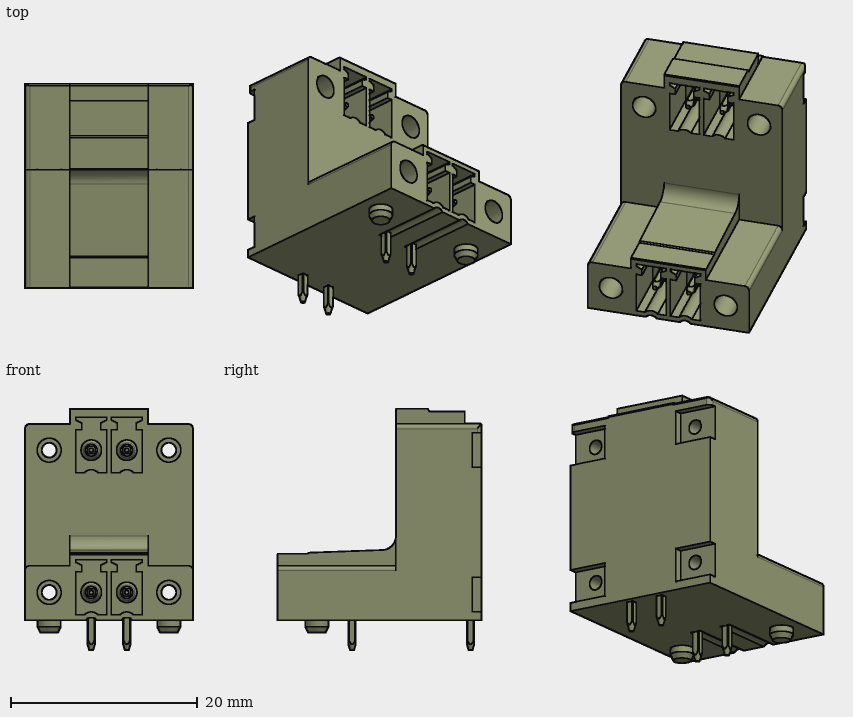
import cadquery as cq


width = 18.01
depth = 21.9
port_rise = 15.24
port_setback = 12.7
lower_shoulder_z = 5.85
upper_shoulder_z = 21.05
shoulder_round = 0.5
back_bevel = 0.2

block_width = 8.38
block_bevel = 0.1
lower_block_z = 7.15
lower_flat_length = 3.23
lower_step_run = 0.2
lower_ramp_start_z = 7.27
lower_ramp_end_z = 7.55
ramp_fillet = 1.5
upper_block_z = 22.7
upper_flat_length = 3.41
upper_step_run = 0.2
upper_back_z = 22.4
upper_block_length = 7.4
back_strip_rise = 0.1

pitch = 3.81
port_axis_z = 3.0
cavity_half_width = 1.67
cavity_top = 3.5
cavity_bottom = -2.4
cavity_depth = 6.2
neck_half_width = 1.04
neck_bottom = 2.2
neck_top = 2.92
slope_top = 3.24
bump_half_width = 0.72
bump_height = 0.31
collar_base_radius = 1.1
collar_rim_radius = 0.83
collar_top_radius = 0.64
collar_rim_height = 0.4
collar_height = 0.6

screw_x = 6.41
screw_diameter = 1.56
counterbore_diameter = 2.57
counterbore_depth = 5.0
nut_width = 3.7
nut_slot_depth = 1.0
lower_nut_drop = 0.22

peg_y = 4.24
peg_diameter = 2.52
peg_length = 1.32
peg_tip_height = 0.62
peg_tip_inset = 0.32

pin_width = 0.82
pin_edge_bevel = 0.1
pin_tip_radius = 0.22
pin_taper_length = 1.0
pin_taper_radius = 0.52
pin_recess = 1.3
tail_setback = 8.01
tail_end_z = -3.2

groove_half_width = 0.6
groove_height = 0.3

port_rows = [(0, port_axis_z), (port_setback, port_axis_z + port_rise)]
contact_columns = [-pitch / 2, pitch / 2]
flange_columns = [-screw_x, screw_x]


def box(x_range, y_range, z_range):
    """Box between two limits along each axis."""
    size = [limits[1] - limits[0] for limits in (x_range, y_range, z_range)]
    corner = (x_range[0], y_range[0], z_range[0])
    return cq.Workplane("XY").box(*size, centered=False).translate(corner)


def make_shoulders():
    """L-shaped body: low front step and tall back column, both with rounded top side edges."""
    half = width / 2
    base = box((-half, half), (0, depth), (0, lower_shoulder_z))
    base = base.edges("|Y and >Z").fillet(shoulder_round)
    column = box((-half, half), (port_setback, depth), (0, upper_shoulder_z))
    column = column.edges("|Y and >Z").fillet(shoulder_round)
    column = column.cut(make_back_corner_waste())
    column = column.cut(make_back_bevel_waste())
    return base.union(column)


def make_back_corner_waste():
    """Material outside the rounded vertical back corners above the upper nut slots."""
    slot_top = port_axis_z + port_rise + nut_width / 2
    height = upper_shoulder_z - slot_top
    half = width / 2
    waste = box((-half, half), (depth - shoulder_round, depth), (slot_top, upper_shoulder_z))
    kept = (
        cq.Workplane("XY", origin=(0, depth - width / 2, slot_top))
        .rect(width, width)
        .extrude(height)
        .edges("|Z and >Y")
        .fillet(shoulder_round)
    )
    return waste.cut(kept)


def make_back_bevel_waste():
    """Wedge outside the bevelled top edge of the back face."""
    return (
        cq.Workplane("YZ")
        .moveTo(depth, upper_shoulder_z)
        .lineTo(depth - back_bevel, upper_shoulder_z)
        .lineTo(depth, upper_shoulder_z - back_bevel)
        .close()
        .extrude(width, both=True)
    )


def make_raised_blocks():
    """Stepped centre blocks over both port rows, with a fillet between lower ramp and column."""
    ramp_end_y = port_setback - ramp_fillet
    step_end_y = lower_flat_length + lower_step_run
    arc_offset = ramp_fillet * (1 - 0.5 ** 0.5)
    upper_step_y = port_setback + upper_flat_length
    back_strip_z = upper_shoulder_z + back_strip_rise
    upper_end_y = port_setback + upper_block_length
    profile = (
        cq.Workplane("YZ")
        .moveTo(0, lower_shoulder_z - shoulder_round)
        .lineTo(0, lower_block_z - block_bevel)
        .lineTo(block_bevel, lower_block_z)
        .lineTo(lower_flat_length, lower_block_z)
        .lineTo(step_end_y, lower_ramp_start_z)
        .lineTo(ramp_end_y, lower_ramp_end_z)
        .threePointArc(
            (port_setback - arc_offset, lower_ramp_end_z + arc_offset),
            (port_setback, lower_ramp_end_z + ramp_fillet),
        )
        .lineTo(port_setback, upper_block_z - block_bevel)
        .lineTo(port_setback + block_bevel, upper_block_z)
        .lineTo(upper_step_y, upper_block_z)
        .lineTo(upper_step_y + upper_step_run, upper_back_z)
        .lineTo(upper_end_y, upper_back_z)
        .lineTo(upper_end_y, back_strip_z)
        .lineTo(depth - back_bevel, back_strip_z)
        .lineTo(depth, back_strip_z - back_bevel)
        .lineTo(depth, lower_shoulder_z - shoulder_round)
        .close()
    )
    return profile.extrude(block_width / 2, both=True)


def make_cavity():
    """Keyed port cavity with a ridged floor and a pin collar, opening at y = 0 around the contact axis."""
    outline = (
        cq.Workplane("XZ")
        .moveTo(-cavity_half_width, cavity_bottom)
        .lineTo(-bump_half_width, cavity_bottom)
        .threePointArc((0, cavity_bottom + bump_height), (bump_half_width, cavity_bottom))
        .lineTo(cavity_half_width, cavity_bottom)
        .lineTo(cavity_half_width, neck_bottom)
        .lineTo(neck_half_width, neck_bottom)
        .lineTo(neck_half_width, neck_top)
        .lineTo(cavity_half_width, slope_top)
        .lineTo(cavity_half_width, cavity_top)
        .lineTo(-cavity_half_width, cavity_top)
        .lineTo(-cavity_half_width, slope_top)
        .lineTo(-neck_half_width, neck_top)
        .lineTo(-neck_half_width, neck_bottom)
        .lineTo(-cavity_half_width, neck_bottom)
        .close()
    )
    collar = (
        cq.Workplane("XY")
        .moveTo(0, cavity_depth)
        .lineTo(collar_base_radius, cavity_depth)
        .lineTo(collar_rim_radius, cavity_depth - collar_rim_height)
        .lineTo(collar_top_radius, cavity_depth - collar_height)
        .lineTo(0, cavity_depth - collar_height)
        .close()
        .revolve(360, (0, 0, 0), (0, 1, 0))
    )
    return outline.extrude(-cavity_depth).cut(collar)


def make_screw_hole(x, face_y, z):
    """Counterbored hole running from a port face through the back."""
    plane = cq.Workplane("XZ", origin=(x, face_y, z))
    bore = plane.circle(screw_diameter / 2).extrude(face_y - depth)
    counterbore = plane.circle(counterbore_diameter / 2).extrude(-counterbore_depth)
    return bore.union(counterbore)


def make_nut_slot(side, z):
    """Slot in the back face, open to the side, for a nut on the screw axis."""
    inner = side * (screw_x - nut_width / 2)
    outer = side * width / 2
    return box(
        sorted((inner, outer)),
        (depth - nut_slot_depth, depth),
        (z - nut_width / 2, z + nut_width / 2),
    )


def make_peg(x):
    """Locating peg below the base with a tapered end."""
    return (
        cq.Workplane("XY", origin=(x, peg_y, 0))
        .circle(peg_diameter / 2)
        .extrude(-peg_length)
        .faces("<Z")
        .chamfer(peg_tip_height, peg_tip_inset)
    )


def make_groove(x):
    """Arched groove under the base from the lower front face to the solder tail."""
    return (
        cq.Workplane("XZ")
        .moveTo(x - groove_half_width, 0)
        .threePointArc((x, groove_height), (x + groove_half_width, 0))
        .close()
        .extrude(-(tail_setback + pin_width / 2))
    )


def make_bar(length):
    """Bevelled square bar along +Z with its conical tip at z = 0."""
    stock = cq.Workplane("XY").rect(pin_width, pin_width).extrude(length)
    stock = stock.edges("|Z").chamfer(pin_edge_bevel)
    envelope = (
        cq.Workplane("XZ")
        .lineTo(pin_tip_radius, 0)
        .lineTo(pin_taper_radius, pin_taper_length)
        .lineTo(pin_width, pin_taper_length)
        .lineTo(pin_width, length)
        .lineTo(0, length)
        .close()
        .revolve(360, (0, 0, 0), (0, 1, 0))
    )
    return stock.intersect(envelope)


def make_pin(x, face_y, axis_z):
    """Angled contact: horizontal mating blade joined to a vertical solder tail."""
    elbow = pin_width / 2
    blade = make_bar(tail_setback - pin_recess + elbow)
    blade = blade.rotate((0, 0, 0), (1, 0, 0), -90).translate((x, face_y + pin_recess, axis_z))
    tail = make_bar(axis_z - tail_end_z + elbow)
    tail = tail.translate((x, face_y + tail_setback, tail_end_z))
    return blade.union(tail)


def make_housing(pins):
    """Two-level header housing with clearance for the seated pins."""
    body = make_shoulders().union(make_raised_blocks())
    for x in flange_columns:
        body = body.union(make_peg(x))
    for face_y, axis_z in port_rows:
        for x in contact_columns:
            body = body.cut(make_cavity().translate((x, face_y, axis_z)))
        for x in flange_columns:
            body = body.cut(make_screw_hole(x, face_y, axis_z))
        slot_z = axis_z - lower_nut_drop if face_y == 0 else axis_z
        for side in (-1, 1):
            body = body.cut(make_nut_slot(side, slot_z))
    for x in contact_columns:
        body = body.cut(make_groove(x))
    for pin in pins:
        body = body.cut(pin)
    return body


contact_pins = [make_pin(x, face_y, axis_z) for face_y, axis_z in port_rows for x in contact_columns]
housing = make_housing(contact_pins)

result = cq.Compound.makeCompound([housing.val(), *[pin.val() for pin in contact_pins]])